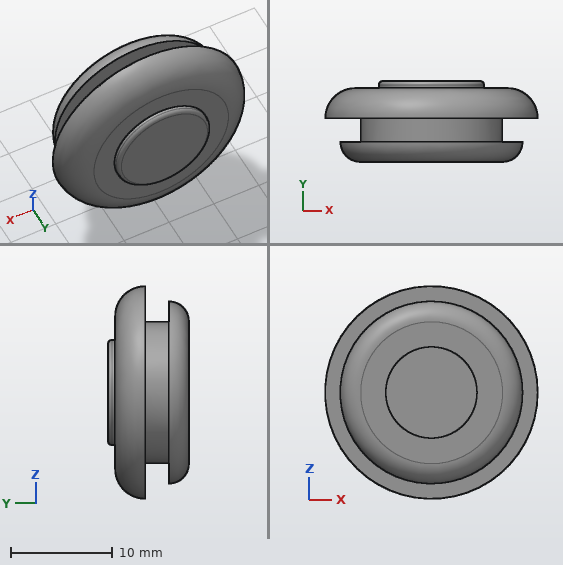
import cadquery as cq

large_flange_diameter = 21.0
small_flange_diameter = 18.0
neck_diameter = 14.0
cap_diameter = 10.4
bore_diameter = 9.0

small_flange_thickness = 2.0
groove_width = 2.3
large_flange_thickness = 3.0
cap_height = 0.7
cap_edge_radius = 0.4

groove_start = small_flange_thickness
groove_end = groove_start + groove_width
flange_back = groove_end + large_flange_thickness
cap_back = flange_back + cap_height

DIAGONAL = 0.5 ** 0.5


def round_edge(profile, center, radius, axial_side):
    """Draw an outer quarter arc; axial_side is -1 for a front edge, 1 for a back edge."""
    center_radius, center_y = center
    flat_end = (center_radius, center_y + axial_side * radius)
    rim_end = (center_radius + radius, center_y)
    middle = (
        center_radius + radius * DIAGONAL,
        center_y + axial_side * radius * DIAGONAL,
    )
    if axial_side < 0:
        return profile.lineTo(*flat_end).threePointArc(middle, rim_end)
    return profile.lineTo(*rim_end).threePointArc(middle, flat_end)


def grommet_body():
    """Revolve the half profile; each flange is rounded over its full thickness."""
    small_center = (small_flange_diameter / 2 - small_flange_thickness, groove_start)
    large_center = (large_flange_diameter / 2 - large_flange_thickness, groove_end)
    cap_center = (cap_diameter / 2 - cap_edge_radius, cap_back - cap_edge_radius)

    profile = cq.Workplane("XY").moveTo(0, 0)
    profile = round_edge(profile, small_center, small_flange_thickness, -1)
    profile = profile.lineTo(neck_diameter / 2, groove_start)
    profile = profile.lineTo(neck_diameter / 2, groove_end)
    profile = round_edge(profile, large_center, large_flange_thickness, 1)
    profile = profile.lineTo(cap_diameter / 2, flange_back)
    profile = round_edge(profile, cap_center, cap_edge_radius, 1)
    profile = profile.lineTo(0, cap_back).close()
    return profile.revolve(360, (0, 0, 0), (0, 1, 0))


def blind_bore():
    """Bore from the front face that leaves a closing wall as thick as the cap."""
    return cq.Workplane("XZ").circle(bore_diameter / 2).extrude(-flange_back)


result = grommet_body().cut(blind_bore())